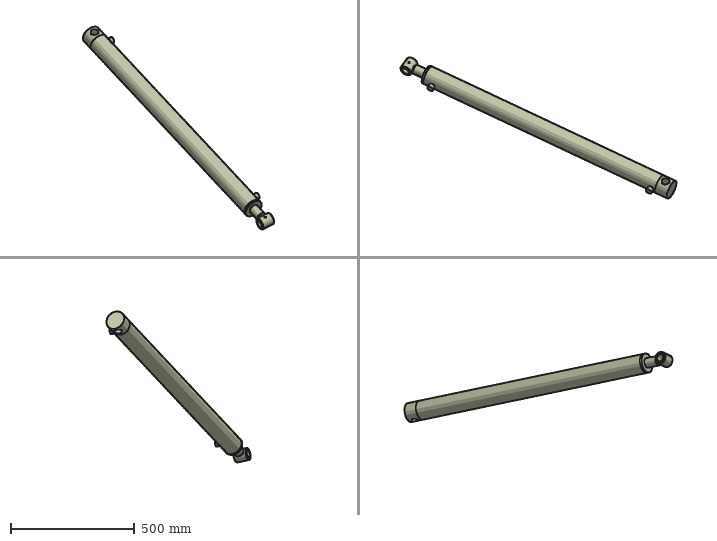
import cadquery as cq


overall_length = 1263.0
body_diameter = 80.0
body_radius = body_diameter / 2
cap_length = 55.0
gland_length = 9.0
body_length = 1156.0
barrel_length = body_length - cap_length - gland_length

cap_hole_diameter = 32.0
cap_hole_x = 28.0

port_diameter = 27.0
overall_width = 95.0
port_top_y = overall_width - body_radius
port_positions = (76.0, 1106.0)

rod_diameter = 40.0
rod_chamfer = 6.0

eye_diameter = 50.0
eye_width = 57.0
eye_chamfer_length = 3.0
eye_chamfer_depth = 1.9
eye_x = overall_length - eye_diameter / 2
grease_hole_diameter = 6.0

rod_end_offset = 23.0
rod_end_x = eye_x - rod_end_offset

bushing_outer_diameter = 34.0
bushing_bore_diameter = 30.0


def x_cylinder(start_x, length, diameter):
    """Round bar along X that starts at start_x."""
    return cq.Workplane("YZ", origin=(start_x, 0, 0)).circle(diameter / 2).extrude(length)


def y_cylinder(center_x, length, diameter):
    """Round bar along Y, centred on the cylinder axis."""
    return cq.Workplane("XZ", origin=(center_x, length / 2, 0)).circle(diameter / 2).extrude(length)


def make_base_cap():
    cap = x_cylinder(0, cap_length, body_diameter)
    pin_hole = (
        cq.Workplane("XY", origin=(cap_hole_x, 0, 0))
        .circle(cap_hole_diameter / 2)
        .extrude(body_diameter, both=True)
    )
    return cap.cut(pin_hole)


def make_barrel():
    return x_cylinder(cap_length, barrel_length, body_diameter)


def make_gland():
    return x_cylinder(body_length - gland_length, gland_length, body_diameter)


def make_port(center_x, barrel):
    """Round boss whose foot is shaped to the barrel surface."""
    boss = (
        cq.Workplane("XZ", origin=(center_x, 0, 0))
        .circle(port_diameter / 2)
        .extrude(-port_top_y)
    )
    return boss.cut(barrel)


def make_rod():
    """Rod with a chamfered end, hollowed to fit the round side of the eye."""
    rod = x_cylinder(body_length, rod_end_x - body_length, rod_diameter)
    rod = rod.faces(">X").chamfer(rod_chamfer)
    return rod.cut(y_cylinder(eye_x, eye_width, eye_diameter))


def make_rod_eye():
    """Chamfered tube with a grease hole in its top and a through seat for the bushing."""
    eye = y_cylinder(eye_x, eye_width, eye_diameter)
    eye = eye.faces("<Y or >Y").chamfer(eye_chamfer_length, eye_chamfer_depth)
    grease_hole = (
        cq.Workplane("XY", origin=(eye_x, 0, 0))
        .circle(grease_hole_diameter / 2)
        .extrude(eye_diameter)
    )
    bushing_seat = y_cylinder(eye_x, eye_width, bushing_outer_diameter)
    return eye.cut(grease_hole).cut(bushing_seat)


def make_bushing():
    bushing = y_cylinder(eye_x, eye_width, bushing_outer_diameter)
    return bushing.cut(y_cylinder(eye_x, eye_width, bushing_bore_diameter))


base_cap = make_base_cap()
barrel = make_barrel()
gland = make_gland()
ports = [make_port(center_x, barrel) for center_x in port_positions]
rod = make_rod()
rod_eye = make_rod_eye()
bushing = make_bushing()

result = cq.Compound.makeCompound(
    [
        base_cap.val(),
        barrel.val(),
        gland.val(),
        *[port.val() for port in ports],
        rod.val(),
        rod_eye.val(),
        bushing.val(),
    ]
)